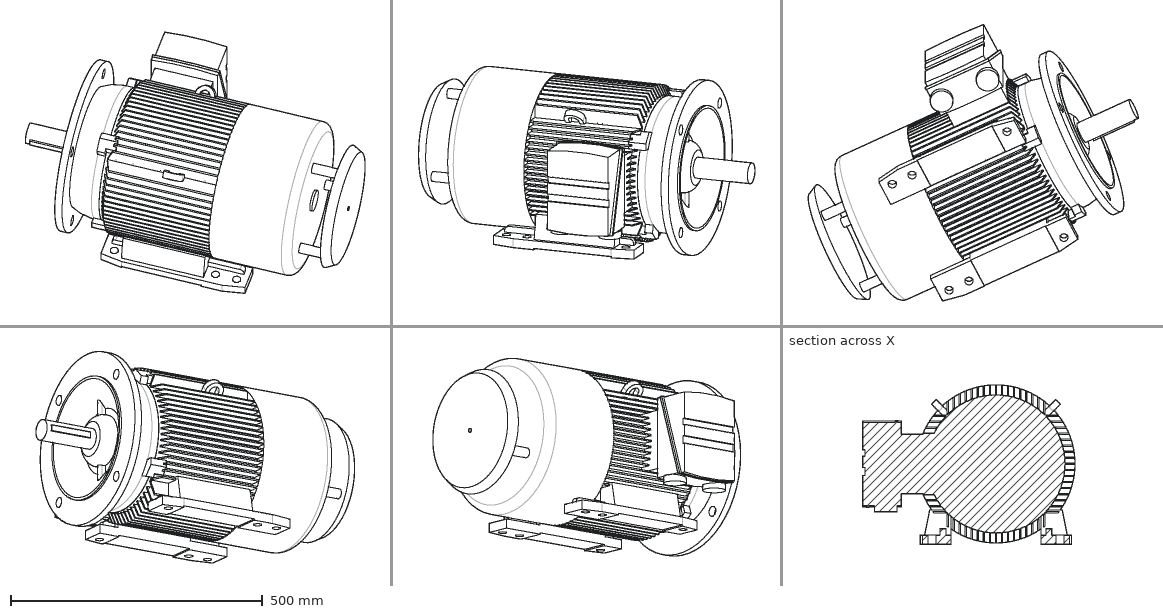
import cadquery as cq
import math


spigot_face_x = 104.5
flange_face_x = 108.5
flange_back_x = 124.0
bell_shoulder_x = 173.0
barrel_start_x = 189.0
fin_start_x = 194.5
cowl_start_x = 423.5
cowl_end_x = 591.5
canopy_start_x = 645.5
canopy_end_x = 665.0
overall_length = 666.0

shaft_diameter = 42.0
key_width = 12.0
key_top = 24.0
key_start_x = 10.0
key_end_x = 100.5

flange_radius = 175.0
spigot_radius = 125.0
flange_bolt_radius = 150.0
flange_hole_diameter = 20.0
corner_count = 4
corner_angle = 45
bell_front_radius = 124.0
bell_radius = 136.5
cavity_mouth_radius = 120.0
cavity_floor_radius = 66.5
cavity_floor_x = 146.5
hub_base_radius = 52.5
hub_face_radius = 35.0
hub_face_x = 116.0
hub_arc_middle = (126.0, 48.0)
hub_rib_radius = 6.0
hub_rib_inner = 43.0
hub_rib_outer = 86.0
hub_rib_axis_x = 139.0

barrel_radius = 137.0
fin_tip_radius = 157.0
fin_tip_start_x = 205.0
fin_pitch = 12.0
fin_thickness = 2.5
fins_each_side_of_middle = 8
fin_root_depth = 90.0

cowl_fillet = 17.0
cowl_boss_radius = 21.0
cowl_boss_height = 4.5
canopy_radius = 125.0
canopy_end_radius = 115.0
rod_diameter = 20.0
rod_circle_radius = 99.0
rod_count = 3
nut_radius = 4.0

lug_front_x = 172.5
lug_step_x = 189.0
lug_back_x = 209.0
lug_top_z = 134.0
lug_bottom_z = 96.0
lug_inner_y = 64.0
lug_bevel_y = 78.0
lug_bevel_slope = 0.9
lug_outer_y = 98.0
lug_tail_outer_y = 91.0
lug_side_lean = 6.5

eye_x = 334.0
eye_outer_radius = 20.0
eye_inner_radius = 10.5
eye_thickness = 13.0
eye_top = 174.5
eye_base = 126.5

foot_bottom_z = -160.0
foot_thickness = 18.5
foot_top_z = foot_bottom_z + foot_thickness
foot_start_x = 194.5
foot_end_x = 494.0
foot_taper_length = 45.0
foot_inner_y = 89.0
foot_outer_y = 150.5
foot_end_outer_y = 142.5
foot_relief_start_x = 240.0
foot_relief_end_x = 405.5
foot_relief_depth = 2.5
foot_hole_diameter = 16.0
foot_hole_y = 127.0
foot_hole_xs = (218.0, 428.0, 472.0)
leg_start_x = 237.0
leg_end_x = 407.5
leg_top_z = -91.0
leg_top_outer_y = 132.0
leg_bottom_outer_y = 142.0
foot_rib_start_x = 208.0
foot_rib_end_x = 482.0
foot_rib_height = 12.5
foot_rib_end_radius = 8.0
foot_rib_inner_y = 99.0
foot_rib_outer_y = 111.0

box_x = 266.5
box_inner_y = 188.0
box_outer_y = 265.0
box_half_height = 86.0
box_base_width = 138.5
box_seam_width = 140.0
box_cover_width = 130.0
box_crown = 4.5
neck_start_x = 205.0
neck_end_x = 326.5
neck_half_height = 59.0
neck_root_y = 100.0
seam_top_y = 197.0
seam_bottom_y = 254.5
seam_thickness = 5.0
seam_overhang = 1.0
cover_slot_depth = 4.5
cover_slots = ((15.0, 28.0), (-22.5, -7.0))
gland_radius = 22.5
gland_spacing = 102.0
gland_y = 219.0
gland_bottom_z = -95.0
gland_height = 14.0


def block(x_range, y_range, z_range):
    """Axis-aligned box between pairs of limits."""
    size = [high - low for low, high in (x_range, y_range, z_range)]
    corner = (x_range[0], y_range[0], z_range[0])
    return cq.Workplane("XY").box(*size, centered=False).translate(corner)


def rod(radius, start_x, end_x, y=0.0, z=0.0):
    """Cylinder parallel to the shaft axis."""
    return cq.Workplane("YZ", origin=(start_x, y, z)).circle(radius).extrude(end_x - start_x)


def turned(profile):
    """Turn a closed (X, radius) profile about the shaft axis."""
    return profile.close().revolve(360, (0, 0, 0), (1, 0, 0))


def make_shaft():
    shaft = rod(shaft_diameter / 2, 0, cavity_floor_x)
    key = block((key_start_x, key_end_x), (-key_top, 0), (-key_width / 2, key_width / 2))
    return shaft.union(key)


def make_end_shield():
    shield = turned(
        cq.Workplane("XY")
        .moveTo(barrel_start_x, 0)
        .lineTo(barrel_start_x, bell_radius)
        .lineTo(bell_shoulder_x, bell_radius)
        .tangentArcPoint((flange_back_x, bell_front_radius), relative=False)
        .lineTo(flange_back_x, flange_radius)
        .lineTo(flange_face_x, flange_radius)
        .lineTo(flange_face_x, spigot_radius)
        .lineTo(spigot_face_x, spigot_radius)
        .lineTo(spigot_face_x, 0)
    )
    cavity = turned(
        cq.Workplane("XY")
        .moveTo(spigot_face_x, 0)
        .lineTo(spigot_face_x, cavity_mouth_radius)
        .lineTo(cavity_floor_x, cavity_floor_radius)
        .lineTo(cavity_floor_x, hub_base_radius)
        .threePointArc(hub_arc_middle, (hub_face_x, hub_face_radius))
        .lineTo(hub_face_x, 0)
    )
    shield = shield.cut(cavity)
    for side in (1, -1):
        rib_z = sorted((side * hub_rib_inner, side * hub_rib_outer))
        rib_y = (-hub_rib_radius, hub_rib_radius)
        nose = cq.Workplane("XY", origin=(hub_rib_axis_x, 0, rib_z[0])).circle(hub_rib_radius)
        shield = shield.union(nose.extrude(rib_z[1] - rib_z[0]))
        shield = shield.union(block((hub_rib_axis_x, bell_shoulder_x), rib_y, rib_z))
    holes = (
        cq.Workplane("YZ", origin=(flange_face_x, 0, 0))
        .polarArray(flange_bolt_radius, corner_angle, 360, corner_count)
        .circle(flange_hole_diameter / 2)
        .extrude(flange_back_x - flange_face_x)
    )
    return shield.cut(holes)


def make_finned_frame():
    """Barrel with parallel fins on four sides, trimmed to a round outline with a tapered front."""
    barrel = rod(barrel_radius, barrel_start_x, cowl_start_x)
    envelope = turned(
        cq.Workplane("XY")
        .moveTo(fin_start_x, 0)
        .lineTo(fin_start_x, barrel_radius)
        .lineTo(fin_tip_start_x, fin_tip_radius)
        .lineTo(cowl_start_x, fin_tip_radius)
        .lineTo(cowl_start_x, 0)
    )
    fin_x = (fin_start_x, cowl_start_x)
    fins = cq.Workplane("XY")
    for index in range(-fins_each_side_of_middle, fins_each_side_of_middle + 1):
        middle = index * fin_pitch
        across = (middle - fin_thickness / 2, middle + fin_thickness / 2)
        for side in (1, -1):
            outward = sorted((side * fin_root_depth, side * fin_tip_radius))
            fins = fins.add(block(fin_x, outward, across)).add(block(fin_x, across, outward))
    return barrel.union(envelope.intersect(fins.combine()))


def make_cowl():
    cowl = rod(fin_tip_radius, cowl_start_x, cowl_end_x).faces(">X").edges().fillet(cowl_fillet)
    return cowl.union(rod(cowl_boss_radius, cowl_start_x, cowl_end_x + cowl_boss_height))


def make_canopy():
    canopy = turned(
        cq.Workplane("XY")
        .moveTo(canopy_start_x, 0)
        .lineTo(canopy_start_x, canopy_radius)
        .lineTo(canopy_end_x, canopy_end_radius)
        .lineTo(canopy_end_x, 0)
    )
    canopy = canopy.union(rod(nut_radius, canopy_start_x, overall_length))
    for index in range(rod_count):
        angle = math.radians(90 + index * 360 / rod_count)
        y = rod_circle_radius * math.cos(angle)
        z = rod_circle_radius * math.sin(angle)
        canopy = canopy.union(rod(rod_diameter / 2, cowl_start_x, canopy_end_x, y, z))
    return canopy


def make_lug():
    """Bolt lug with a bevelled outer corner and a narrower tail, above the -Y side of the frame."""

    def bevelled_bar(outer_y, start_x, end_x):
        bevel_bottom_z = lug_top_z - lug_bevel_slope * (outer_y - lug_bevel_y)
        return (
            cq.Workplane("YZ", origin=(start_x, 0, 0))
            .moveTo(-lug_inner_y, lug_bottom_z)
            .lineTo(-lug_inner_y, lug_top_z)
            .lineTo(-lug_bevel_y, lug_top_z)
            .lineTo(-outer_y, bevel_bottom_z)
            .lineTo(lug_side_lean - outer_y, lug_bottom_z)
            .close()
            .extrude(end_x - start_x)
        )

    head = bevelled_bar(lug_outer_y, lug_front_x, lug_step_x)
    return head.union(bevelled_bar(lug_tail_outer_y, lug_step_x, lug_back_x))


def make_lifting_eye():
    """Arched eye standing between the -Y and +Z sides of the frame."""
    arch_z = eye_top - eye_outer_radius

    def arch(radius):
        return (
            cq.Workplane("XZ", origin=(eye_x, eye_thickness / 2, 0))
            .moveTo(-radius, eye_base)
            .lineTo(-radius, arch_z)
            .threePointArc((0, arch_z + radius), (radius, arch_z))
            .lineTo(radius, eye_base)
            .close()
            .extrude(eye_thickness)
        )

    eye = arch(eye_outer_radius).cut(arch(eye_inner_radius))
    return eye.rotate((0, 0, 0), (1, 0, 0), corner_angle)


def make_foot():
    """Foot on the +Y side: base plate, leg up to the frame, low rib and bolt holes."""
    plate = (
        cq.Workplane("XY", origin=(0, 0, foot_bottom_z))
        .moveTo(foot_start_x, foot_inner_y)
        .lineTo(foot_start_x, foot_end_outer_y)
        .lineTo(foot_start_x + foot_taper_length, foot_outer_y)
        .lineTo(foot_end_x - foot_taper_length, foot_outer_y)
        .lineTo(foot_end_x, foot_end_outer_y)
        .lineTo(foot_end_x, foot_inner_y)
        .close()
        .extrude(foot_thickness)
    )
    plate = plate.cut(
        block(
            (foot_relief_start_x, foot_relief_end_x),
            (foot_inner_y, foot_outer_y),
            (foot_bottom_z, foot_bottom_z + foot_relief_depth),
        )
    )
    leg = (
        cq.Workplane("YZ", origin=(leg_start_x, 0, 0))
        .moveTo(foot_inner_y, leg_top_z)
        .lineTo(leg_top_outer_y, leg_top_z)
        .lineTo(leg_bottom_outer_y, foot_top_z)
        .lineTo(foot_inner_y, foot_top_z)
        .close()
        .extrude(leg_end_x - leg_start_x)
    )
    rib = block(
        (foot_rib_start_x, foot_rib_end_x),
        (foot_rib_inner_y, foot_rib_outer_y),
        (foot_top_z, foot_top_z + foot_rib_height),
    )
    rib = rib.edges("|Y and >Z").fillet(foot_rib_end_radius)
    holes = (
        cq.Workplane("XY", origin=(0, 0, foot_bottom_z))
        .pushPoints([(x, foot_hole_y) for x in foot_hole_xs])
        .circle(foot_hole_diameter / 2)
        .extrude(foot_thickness)
    )
    return plate.union(leg).union(rib).cut(holes)


def crowned_prism(width, half_height):
    """Prism along Y over the depth of the terminal box, with arched top and bottom."""
    side_z = half_height - box_crown
    return (
        cq.Workplane("XZ", origin=(box_x, box_outer_y, 0))
        .moveTo(-width / 2, -side_z)
        .lineTo(-width / 2, side_z)
        .threePointArc((0, half_height), (width / 2, side_z))
        .lineTo(width / 2, -side_z)
        .threePointArc((0, -half_height), (-width / 2, -side_z))
        .close()
        .extrude(box_outer_y - box_inner_y)
    )


def slanted_slab(inner_offset, outer_offset):
    """Slab parallel to the slanted cover seam, between two offsets along Y."""
    slope = (seam_bottom_y - seam_top_y) / (2 * box_half_height)
    reach = 2 * box_half_height
    middle_y = (seam_top_y + seam_bottom_y) / 2
    top_y = middle_y - slope * reach
    bottom_y = middle_y + slope * reach
    return (
        cq.Workplane("YZ", origin=(box_x - box_base_width, 0, 0))
        .moveTo(top_y + inner_offset, reach)
        .lineTo(top_y + outer_offset, reach)
        .lineTo(bottom_y + outer_offset, -reach)
        .lineTo(bottom_y + inner_offset, -reach)
        .close()
        .extrude(2 * box_base_width)
    )


def make_terminal_box():
    depth = 2 * box_outer_y
    base = crowned_prism(box_base_width, box_half_height).intersect(slanted_slab(-depth, 0))
    cover = crowned_prism(box_cover_width, box_half_height).intersect(slanted_slab(0, depth))
    seam = crowned_prism(box_seam_width, box_half_height + seam_overhang)
    seam = seam.intersect(slanted_slab(-seam_thickness / 2, seam_thickness / 2))
    neck = block(
        (neck_start_x, neck_end_x),
        (neck_root_y, box_inner_y),
        (-neck_half_height, neck_half_height),
    )
    box = base.union(cover).union(seam).union(neck)
    for side in (1, -1):
        gland = (
            cq.Workplane("XY", origin=(box_x + side * gland_spacing / 2, gland_y, gland_bottom_z))
            .circle(gland_radius)
            .extrude(gland_height)
        )
        box = box.union(gland)
    for slot_z in cover_slots:
        slot_x = (box_x - box_base_width, box_x + box_base_width)
        slot_y = (box_outer_y - cover_slot_depth, box_outer_y)
        box = box.cut(block(slot_x, slot_y, slot_z))
    return box


result = make_shaft().union(make_end_shield()).union(make_finned_frame())
result = result.union(make_cowl()).union(make_canopy())

lug = make_lug()
lifting_eye = make_lifting_eye()
for corner in range(corner_count):
    for feature in (lug, lifting_eye):
        result = result.union(feature.rotate((0, 0, 0), (1, 0, 0), corner * 360 / corner_count))

foot = make_foot()
result = result.union(foot).union(foot.mirror("XZ")).union(make_terminal_box())